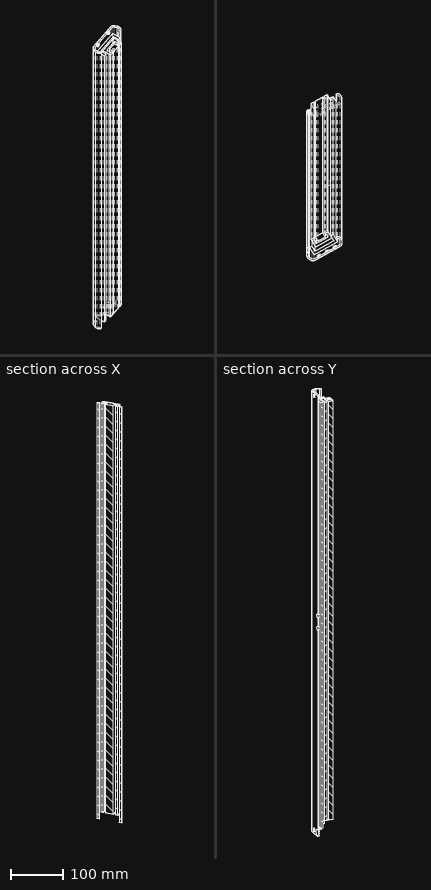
import cadquery as cq
import math

LENGTH = 900.0
TOP = LENGTH / 2
BOTTOM = -LENGTH / 2
DEPTH = 32.0
BACK = -DEPTH / 2
FRONT = DEPTH / 2
CLEARANCE = 3.0

SHEET = 4.0
OUTER_HALF = 75.0 / 2
FLAT_HALF = 28.0
BEND_RADIUS = 7.0
BEND_ANGLE = math.radians(65)
LIP_FRONT = 4.5
LIP_DROP = 6.0

RAIL_TOP = TOP - 14.0
WALL = 5.0
MIDDLE_BACK = BACK + SHEET + CLEARANCE
MIDDLE_FRONT = 7.0
MIDDLE_WIDTH = 52.0
MIDDLE_BOTTOM = BOTTOM + 15.0
INNER_BACK = MIDDLE_BACK + WALL + CLEARANCE
INNER_WIDTH = 36.0
INNER_BOTTOM = BOTTOM + 30.0

STRIP_DEPTH = 4.0
STRIP_BACK = FRONT - STRIP_DEPTH

CORE_BACK = INNER_BACK + WALL + CLEARANCE
CORE_WIDTH = 16.0
STRIP_WIDTH = (INNER_WIDTH - CORE_WIDTH) / 2 - CLEARANCE

MOUNT_DIAMETER = 6.0
MOUNT_SPREAD = 35.0
MOUNT_TOP = TOP - 6.0
MOUNT_BOTTOM = BOTTOM + 7.0
SINK_NARROW = 4.5
END_SINK_WIDE = 13.5
MIDDLE_SINK_WIDE = 8.0
MIDDLE_SINK_HEIGHTS = (0, -25.0)


def bend_point(radius, angle):
    """Point on the bend beside the flat back; the angle is measured from -X toward +Y."""
    return (
        BACK + BEND_RADIUS - radius * math.cos(angle),
        FLAT_HALF + radius * math.sin(angle),
    )


def outer_rail_half():
    """The +Y half of the bent sheet."""
    step_slope = math.pi / 2 - BEND_ANGLE
    bend_end_x, bend_end_y = bend_point(BEND_RADIUS, BEND_ANGLE)
    inner_radius = BEND_RADIUS - SHEET
    crown_x = bend_end_x + (OUTER_HALF - bend_end_y) / math.tan(step_slope)
    inner_crown_x = crown_x + SHEET * math.tan(step_slope / 2)
    lip_y = OUTER_HALF - LIP_DROP
    return (
        cq.Workplane("XY", origin=(0, 0, BOTTOM))
        .moveTo(BACK, 0)
        .lineTo(BACK, FLAT_HALF)
        .threePointArc(bend_point(BEND_RADIUS, BEND_ANGLE / 2), (bend_end_x, bend_end_y))
        .lineTo(crown_x, OUTER_HALF)
        .spline([(LIP_FRONT, lip_y)], tangents=[(1, 0), (0, -1)], includeCurrent=True)
        .lineTo(LIP_FRONT - SHEET, lip_y)
        .spline(
            [(inner_crown_x, OUTER_HALF - SHEET)], tangents=[(0, 1), (-1, 0)], includeCurrent=True
        )
        .lineTo(*bend_point(inner_radius, BEND_ANGLE))
        .threePointArc(bend_point(inner_radius, BEND_ANGLE / 2), bend_point(inner_radius, 0))
        .lineTo(BACK + SHEET, 0)
        .close()
        .extrude(LENGTH)
    )


def mount_hole(y, z):
    return cq.Workplane("YZ", origin=(BACK, y, z)).circle(MOUNT_DIAMETER / 2).extrude(SHEET)


def countersink(z, wide):
    """Cone through the back, widest at the outside."""
    return (
        cq.Workplane("YZ", origin=(BACK, 0, z))
        .circle(wide / 2)
        .workplane(offset=SHEET)
        .circle(SINK_NARROW / 2)
        .loft()
    )


def make_outer_rail():
    half = outer_rail_half()
    rail = half.union(half.mirror("XZ")).clean()
    for z in (MOUNT_TOP, MOUNT_BOTTOM):
        for side in (-1, 1):
            rail = rail.cut(mount_hole(side * MOUNT_SPREAD / 2, z))
    for z in MIDDLE_SINK_HEIGHTS:
        rail = rail.cut(countersink(z, MIDDLE_SINK_WIDE))
    return rail.cut(countersink(MOUNT_BOTTOM, END_SINK_WIDE))


def make_bar(back, front, width, bottom, y=0):
    """Upright bar centred on y, from the given bottom to the common top of the rails."""
    return cq.Workplane("XY", origin=(back, y, bottom)).box(
        front - back, width, RAIL_TOP - bottom, centered=(False, True, False)
    )


def make_channel(back, front, width, bottom):
    groove = make_bar(back + WALL, front, width - 2 * WALL, bottom)
    return make_bar(back, front, width, bottom).cut(groove)


def make_edge_strip(side):
    y = side * (INNER_WIDTH - STRIP_WIDTH) / 2
    return make_bar(STRIP_BACK, FRONT, STRIP_WIDTH, INNER_BOTTOM, y)


outer_rail = make_outer_rail()
middle_rail = make_channel(MIDDLE_BACK, MIDDLE_FRONT, MIDDLE_WIDTH, MIDDLE_BOTTOM)
inner_rail = make_channel(INNER_BACK, STRIP_BACK, INNER_WIDTH, INNER_BOTTOM)
core_bar = make_bar(CORE_BACK, FRONT, CORE_WIDTH, INNER_BOTTOM)
edge_strips = [make_edge_strip(side) for side in (-1, 1)]

result = cq.Compound.makeCompound(
    [outer_rail.val(), middle_rail.val(), inner_rail.val(), core_bar.val()]
    + [strip.val() for strip in edge_strips]
)